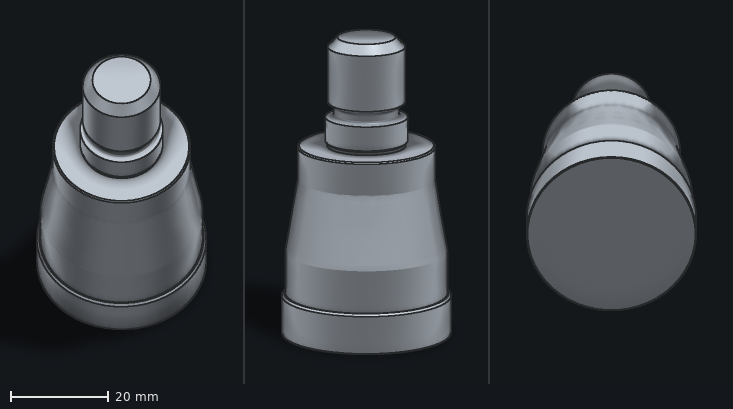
import cadquery as cq
import math

total_height = 63.0
flange_height = 8.55
body_top = 17.5
lower_blend_top = 19.1
upper_blend_bottom = 31.2
upper_blend_top = 32.95
housing_height = 39.95

flange_radius = 17.45
body_radius = 16.7
lower_blend_radius = 16.45
upper_blend_radius = 14.4
head_radius = 14.2
flange_top_chamfer = 0.5
flange_bottom_chamfer = 0.2
head_chamfer = 0.3

collar_bottom = 40.95
collar_top = 46.05
neck_cone_bottom = 48.45
shank_bottom = 49.2

shank_radius = 8.0
neck_radius = 6.75
collar_radius = 8.5
foot_radius = 8.1
shank_chamfer = 2.0
neck_fillet = 0.75


def revolve_profile(profile):
    """Turn a closed radius-height outline about the Z axis."""
    return profile.close().revolve(360, (0, 0, 0), (0, 1, 0))


def make_housing():
    """Flanged base with a cylindrical body that tapers smoothly to a narrower head."""
    taper_slope = (upper_blend_radius - lower_blend_radius, upper_blend_bottom - lower_blend_top)
    profile = (
        cq.Workplane("XZ")
        .lineTo(flange_radius - flange_bottom_chamfer, 0)
        .lineTo(flange_radius, flange_bottom_chamfer)
        .lineTo(flange_radius, flange_height - flange_top_chamfer)
        .lineTo(flange_radius - flange_top_chamfer, flange_height)
        .lineTo(body_radius, flange_height)
        .lineTo(body_radius, body_top)
        .spline([(lower_blend_radius, lower_blend_top)], tangents=[(0, 1), taper_slope], includeCurrent=True)
        .lineTo(upper_blend_radius, upper_blend_bottom)
        .spline([(head_radius, upper_blend_top)], tangents=[taper_slope, (0, 1)], includeCurrent=True)
        .lineTo(head_radius, housing_height - head_chamfer)
        .lineTo(head_radius - head_chamfer, housing_height)
        .lineTo(0, housing_height)
    )
    return revolve_profile(profile)


def make_stud():
    """Shank with an undercut neck above a collar, standing on the housing."""
    collar_chamfer = collar_radius - foot_radius

    cone_angle = math.atan2(shank_bottom - neck_cone_bottom, shank_radius - neck_radius)
    arc_half_turn = (math.pi / 2 - cone_angle) / 2
    arc_reach = neck_fillet * math.tan(arc_half_turn)
    arc_center_radius = neck_radius + neck_fillet
    neck_arc_bottom = neck_cone_bottom - arc_reach
    upper_arc_middle = (
        arc_center_radius - neck_fillet * math.cos(arc_half_turn),
        neck_arc_bottom + neck_fillet * math.sin(arc_half_turn),
    )
    upper_arc_end = (
        neck_radius + arc_reach * math.cos(cone_angle),
        neck_cone_bottom + arc_reach * math.sin(cone_angle),
    )

    lower_arc_offset = neck_fillet * (1 - math.sqrt(0.5))
    lower_arc_middle = (neck_radius + lower_arc_offset, collar_top + lower_arc_offset)

    profile = (
        cq.Workplane("XZ")
        .moveTo(0, housing_height)
        .lineTo(foot_radius, housing_height)
        .lineTo(foot_radius, collar_bottom - collar_chamfer)
        .lineTo(collar_radius, collar_bottom)
        .lineTo(collar_radius, collar_top)
        .lineTo(arc_center_radius, collar_top)
        .threePointArc(lower_arc_middle, (neck_radius, collar_top + neck_fillet))
        .lineTo(neck_radius, neck_arc_bottom)
        .threePointArc(upper_arc_middle, upper_arc_end)
        .lineTo(shank_radius, shank_bottom)
        .lineTo(shank_radius, total_height - shank_chamfer)
        .lineTo(shank_radius - shank_chamfer, total_height)
        .lineTo(0, total_height)
    )
    return revolve_profile(profile)


housing = make_housing()
stud = make_stud()

result = cq.Compound.makeCompound([housing.val(), stud.val()])